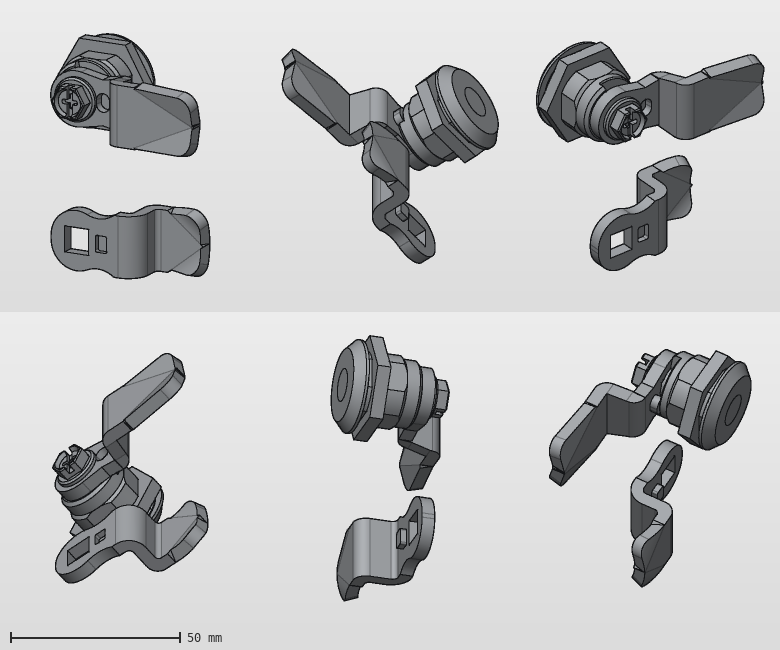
import cadquery as cq
import math


flange_dia = 28.0
flange_height = 3.9
flange_bevel = 3.0
body_dia = 22.1
body_flats = 20.1
collar_dia = 20.3
thread_start = -13.1
thread_bevel = (body_dia - collar_dia) / 2
housing_end = -18.05
end_bevel = 1.0
stop_slot_floor_bevel = 0.4
stop_slot_start = -19.0
stop_slot_end = 107.0

gasket_dia = 23.5
gasket_thickness = 0.65
gasket_bevel_width = 0.6
gasket_bevel_height = 0.35

nut_flats = 27.0
nut_top = -2.1
nut_thickness = 4.1

spindle_dia = 9.8
tang_size = 8.0
thread_dia = 6.0
thread_length = 12.0

cam_thickness = 4.1
cam_hub_radius = 8.65
cam_neck_x = 8.9
cam_neck_half = 7.08
cam_bend_x = 13.95
cam_bend_half = 7.95
cam_half = 9.56
cam_wall_half = 8.4
cam_wall_angle = 10.5
cam_wall_length = 6.87
cam_wing_start = 24.9
cam_wing_step = 0.9
cam_wing_half = 10.3
cam_tip_half = 10.1
cam_tip_x = 44.99
cam_fold_x = 25.1
cam_fold_tip_x = 45.7
cam_fold_angle = 15.3
cam_corner_radius = 4.3
boss_x = 9.0
boss_length = 5.75
boss_width = 4.4
boss_height = 2.45
dimple_taper = 7.0

spare_z = -43.7
spare_thickness = 3.95
spare_hub_radius = 8.6
spare_hub_half_flat = 0.7
spare_neck_x = 7.2
spare_neck_half = 7.75
spare_half = 9.55
spare_bend_outer_radius = 6.4
spare_bend_inner_radius = 1.7
spare_back = -5.95
spare_top_outer_radius = 3.95
spare_top_inner_radius = 1.4
spare_fold_x = 24.0
spare_fold_tip_x = 36.0
spare_tip_x = 36.1
spare_tip_half = 10.8
spare_corner_radius = 4.1
spare_roll_radius = 13.0
spare_roll_angle = 60.0
spare_wing_tilt = 22.0
spare_boss_x = 8.2
spare_boss_length = 3.8
spare_boss_width = 5.2
spare_boss_radius = 0.6
spare_boss_height = 1.9

washer_dia = 13.6
washer_thickness = 1.6
washer_bevel = 0.6

head_flats = 9.65
head_height = 3.9
head_bevel = 0.4
dish_dia = 8.8
dish_floor_dia = 7.6
dish_depth = 1.4
slot_width = 1.8
slot_depth = 2.6
cross_length = 5.2
cross_height = 4.6
cross_width = 1.4
cross_depth = 3.2

cam_front = housing_end - cam_thickness
washer_front = cam_front - washer_thickness
head_front = washer_front - head_height
spare_front = housing_end - spare_thickness

FAR = 60.0


def plane_at(y):
    """Workplane at height y along the lock axis; extrusion runs towards -Y."""
    return cq.Workplane("XZ", origin=(0, y, 0))


def turned(points):
    """Solid of revolution about the lock axis from (radius, y) points."""
    return cq.Workplane("XY").polyline(points).close().revolve(360, (0, 0, 0), (0, 1, 0))


def across_corners(flats):
    return flats / math.cos(math.radians(30))


def flatted_bar(top, length):
    """Threaded bar shape: a round bar with four flats."""
    bar = plane_at(top).circle(body_dia / 2).extrude(length)
    return bar.intersect(plane_at(top).rect(body_flats, body_flats).extrude(length))


def polar(radius, angle):
    return radius * math.cos(math.radians(angle)), radius * math.sin(math.radians(angle))


def make_housing():
    flange_r = flange_dia / 2
    collar_r = collar_dia / 2
    flange = turned([
        (0, 0), (flange_r, 0), (flange_r, flange_height - flange_bevel),
        (flange_r - flange_bevel, flange_height), (0, flange_height),
    ])
    thread_bevel_cone = turned([
        (0, 0), (body_dia / 2, 0), (body_dia / 2, thread_start + thread_bevel),
        (collar_r, thread_start), (0, thread_start),
    ])
    thread = flatted_bar(0, -thread_start).intersect(thread_bevel_cone)
    collar = turned([
        (0, thread_start), (collar_r, thread_start), (collar_r, housing_end + end_bevel),
        (collar_r - end_bevel, housing_end), (0, housing_end),
    ])
    bore = plane_at(flange_height).circle(spindle_dia / 2).extrude(FAR)

    slot_floor = housing_end + boss_height
    slot_top = slot_floor + stop_slot_floor_bevel
    stop_slot = (
        plane_at(slot_top)
        .lineTo(*polar(FAR, stop_slot_start))
        .lineTo(*polar(FAR, (stop_slot_start + stop_slot_end) / 2))
        .lineTo(*polar(FAR, stop_slot_end))
        .close()
        .extrude(slot_top - housing_end)
    )
    slot_floor_step = turned([
        (0, slot_top), (collar_r, slot_top),
        (collar_r - stop_slot_floor_bevel, slot_floor), (0, slot_floor),
    ])
    return flange.union(thread).union(collar).cut(bore).cut(stop_slot.cut(slot_floor_step))


def make_gasket():
    outer = gasket_dia / 2
    ring = turned([
        (0, 0), (outer, 0), (outer, gasket_bevel_height - gasket_thickness),
        (outer - gasket_bevel_width, -gasket_thickness), (0, -gasket_thickness),
    ])
    return ring.cut(flatted_bar(0, gasket_thickness))


def make_nut():
    hexagon = plane_at(nut_top).polygon(6, across_corners(nut_flats)).extrude(nut_thickness)
    return hexagon.cut(flatted_bar(nut_top, nut_thickness))


def make_spindle():
    barrel = plane_at(flange_height).circle(spindle_dia / 2).extrude(flange_height - housing_end)
    tang = plane_at(housing_end).rect(tang_size, tang_size).extrude(cam_thickness)
    round_limit = plane_at(housing_end).circle(spindle_dia / 2).extrude(cam_thickness)
    thread_hole = plane_at(cam_front + thread_length).circle(thread_dia / 2).extrude(thread_length)
    return barrel.union(tang.intersect(round_limit)).cut(thread_hole)


def rounded_blade(points, corner_radius, back, thickness):
    """Flat blade from one half outline, mirrored about z = 0, with rounded tip corners."""
    mirrored = [(x, -z) for x, z in reversed(points)]
    blank = plane_at(back).polyline(points + mirrored).close().extrude(thickness)
    return blank.edges("|Y and >X").fillet(corner_radius)


def fold_plane(fold_x, fold_z, fold_tip_x, back):
    """Plane across the upper fold line: local x points out to the wing, local y along +Y."""
    run = fold_tip_x - fold_x
    length = math.hypot(run, fold_z)
    return cq.Plane(
        origin=(fold_tip_x, back, 0),
        xDir=(fold_z / length, 0, run / length),
        normal=(-run / length, 0, fold_z / length),
    )


def folded_blade(blade_outline, plane, wing_profile, tilt, back, thickness):
    """Blade whose two corners beyond the fold lines are replaced by bent wings.

    wing_profile draws the bent sheet's section on a workplane across the fold line.
    The wing edges are square to a sheet folded by the tilt angle.
    """
    middle = blade_outline(back, thickness)
    section = cq.Workplane(plane)
    corner = section.center(FAR / 2, 0).rect(FAR, FAR).extrude(FAR, both=True)
    middle = middle.cut(corner).cut(corner.mirror("XY"))

    fold_start = plane.origin
    fold_end = fold_start + plane.zDir
    edge_limit = blade_outline(back + thickness, 3 * thickness)
    edge_limit = edge_limit.rotate(fold_start.toTuple(), fold_end.toTuple(), -tilt)
    sheet = wing_profile(section).extrude(FAR, both=True)
    wing = sheet.intersect(edge_limit)
    return middle.union(wing).union(wing.mirror("XY"))


wall_across = polar(cam_thickness, cam_wall_angle)
wall_down = polar(cam_wall_length, cam_wall_angle - 90)
upper_corner = (cam_bend_x, cam_front)
lower_corner = (
    upper_corner[0] + wall_across[0] + wall_down[0],
    upper_corner[1] + wall_across[1] + wall_down[1],
)
cam_blade_back = lower_corner[1]


def offset(point, step, sign=1):
    return point[0] + sign * step[0], point[1] + sign * step[1]


def make_cam_neck():
    """Round hub, straight waist and flare up to the first bend."""
    reach = math.hypot(cam_neck_x, cam_neck_half)
    tangent_angle = math.degrees(
        math.atan2(cam_neck_half, cam_neck_x) + math.acos(cam_hub_radius / reach)
    )
    tangent_x, tangent_z = polar(cam_hub_radius, tangent_angle)
    return (
        plane_at(housing_end)
        .moveTo(tangent_x, tangent_z)
        .threePointArc((-cam_hub_radius, 0), (tangent_x, -tangent_z))
        .lineTo(cam_neck_x, -cam_neck_half)
        .lineTo(cam_bend_x, -cam_bend_half)
        .lineTo(cam_bend_x, cam_bend_half)
        .lineTo(cam_neck_x, cam_neck_half)
        .close()
        .extrude(cam_thickness)
    )


def make_cam_wall():
    """Double bend down to the blade, widening along the slanted wall."""
    bend_middle = polar(cam_thickness, (90 + cam_wall_angle) / 2)
    strip = (
        cq.Workplane("XY")
        .moveTo(*upper_corner)
        .lineTo(cam_bend_x, housing_end)
        .threePointArc(offset(upper_corner, bend_middle), offset(upper_corner, wall_across))
        .lineTo(*lower_corner)
        .lineTo(cam_wing_start, cam_blade_back)
        .lineTo(cam_wing_start, cam_blade_back - cam_thickness)
        .lineTo(lower_corner[0], cam_blade_back - cam_thickness)
        .threePointArc(
            offset(lower_corner, bend_middle, -1), offset(lower_corner, wall_across, -1)
        )
        .close()
        .extrude(cam_half, both=True)
    )
    taper = (
        cq.Workplane("YZ")
        .polyline([
            (housing_end, cam_bend_half), (cam_front, cam_wall_half),
            (cam_blade_back, cam_half), (cam_blade_back - cam_thickness, cam_half),
            (cam_blade_back - cam_thickness, -cam_half), (cam_blade_back, -cam_half),
            (cam_front, -cam_wall_half), (housing_end, -cam_bend_half),
        ])
        .close()
        .extrude(FAR)
    )
    return strip.intersect(taper)


def cam_blade_outline(back, thickness):
    half_outline = [
        (cam_wing_start, cam_half), (cam_wing_start + cam_wing_step, cam_wing_half),
        (cam_tip_x, cam_tip_half),
    ]
    return rounded_blade(half_outline, cam_corner_radius, back, thickness)


def cam_wing_profile(section):
    """Flat sheet turned down about the fold line."""
    out = polar(FAR, -cam_fold_angle)
    down = polar(cam_thickness, -cam_fold_angle - 90)
    return section.polyline([(0, 0), out, offset(out, down), down]).close()


def stop_boss_outline(y):
    return plane_at(y).center(boss_x, 0).slot2D(boss_length, boss_width, 90)


def make_cam():
    plane = fold_plane(cam_fold_x, cam_half, cam_fold_tip_x, cam_blade_back)
    blade = folded_blade(
        cam_blade_outline, plane, cam_wing_profile, cam_fold_angle, cam_blade_back, cam_thickness
    )
    boss = stop_boss_outline(housing_end + boss_height).extrude(boss_height)
    dimple = stop_boss_outline(cam_front).extrude(-boss_height, taper=dimple_taper)
    square_hole = plane_at(housing_end).rect(tang_size, tang_size).extrude(cam_thickness)
    body = make_cam_neck().union(make_cam_wall()).union(blade).union(boss)
    return body.cut(square_hole).cut(dimple)


def make_spare_neck():
    """Hub of two arcs joined by a short flat, with a concave waist tangent to the hub."""
    rise = spare_neck_half - spare_hub_half_flat
    waist_radius = (spare_neck_x**2 + rise**2 - spare_hub_radius**2) / (
        2 * (spare_hub_radius - rise)
    )
    waist_z = spare_neck_half + waist_radius
    share = spare_hub_radius / (spare_hub_radius + waist_radius)
    touch_x = spare_neck_x * share
    touch_z = spare_hub_half_flat + (waist_z - spare_hub_half_flat) * share
    waist_end_x = spare_neck_x + math.sqrt(waist_radius**2 - (waist_z - spare_half) ** 2)
    hub_side = polar(spare_hub_radius, 135)
    hub_side_z = hub_side[1] + spare_hub_half_flat
    return (
        plane_at(housing_end)
        .moveTo(-spare_hub_radius, spare_hub_half_flat)
        .threePointArc((hub_side[0], hub_side_z), (touch_x, touch_z))
        .threePointArc((spare_neck_x, spare_neck_half), (waist_end_x, spare_half))
        .lineTo(cam_bend_x, spare_half)
        .lineTo(cam_bend_x, -spare_half)
        .lineTo(waist_end_x, -spare_half)
        .threePointArc((spare_neck_x, -spare_neck_half), (touch_x, -touch_z))
        .threePointArc((hub_side[0], -hub_side_z), (-spare_hub_radius, -spare_hub_half_flat))
        .close()
        .extrude(spare_thickness)
    )


def make_spare_wall():
    """Quarter bend up to a straight wall, then a second bend into the blade."""
    wall_right = cam_bend_x + spare_bend_outer_radius
    wall_left = wall_right - spare_thickness
    blade_front = spare_back - spare_thickness
    outer_centre = (cam_bend_x, spare_front + spare_bend_outer_radius)
    inner_centre = (wall_left - spare_bend_inner_radius, housing_end + spare_bend_inner_radius)
    outer_middle = offset(outer_centre, polar(spare_bend_outer_radius, -45))
    inner_middle = offset(inner_centre, polar(spare_bend_inner_radius, -45))
    strip = (
        cq.Workplane("XY")
        .moveTo(cam_bend_x, spare_front)
        .threePointArc(outer_middle, (wall_right, outer_centre[1]))
        .lineTo(wall_right, blade_front)
        .lineTo(spare_fold_x, blade_front)
        .lineTo(spare_fold_x, spare_back)
        .lineTo(wall_left, spare_back)
        .lineTo(wall_left, inner_centre[1])
        .threePointArc(inner_middle, (inner_centre[0], housing_end))
        .lineTo(cam_bend_x, housing_end)
        .close()
        .extrude(spare_half, both=True)
    )
    strip = strip.edges(cq.NearestToPointSelector((wall_left, spare_back, 0)))
    strip = strip.fillet(spare_top_outer_radius)
    strip = strip.edges(cq.NearestToPointSelector((wall_right, blade_front, 0)))
    return strip.fillet(spare_top_inner_radius)


def spare_blade_outline(back, thickness):
    half_outline = [(spare_fold_x, spare_half), (spare_tip_x, spare_tip_half)]
    return rounded_blade(half_outline, spare_corner_radius, back, thickness)


def spare_wing_profile(section):
    """Sheet rolled down to an arc that leaves the fold line smoothly."""
    radius = spare_roll_radius
    centre = (0, -radius)
    inner = radius - spare_thickness
    end = 90 - spare_roll_angle
    middle = 90 - spare_roll_angle / 2
    return (
        section.moveTo(0, 0)
        .threePointArc(offset(centre, polar(radius, middle)), offset(centre, polar(radius, end)))
        .lineTo(*offset(centre, polar(inner, end)))
        .threePointArc(offset(centre, polar(inner, middle)), (0, -spare_thickness))
        .close()
    )


def spare_stop_boss(top, length):
    boss = plane_at(top).center(spare_boss_x, 0).rect(spare_boss_length, spare_boss_width)
    return boss.extrude(length).edges("|Y").fillet(spare_boss_radius)


def make_spare_cam():
    plane = fold_plane(spare_fold_x, spare_half, spare_fold_tip_x, spare_back)
    blade = folded_blade(
        spare_blade_outline, plane, spare_wing_profile, spare_wing_tilt, spare_back, spare_thickness
    )
    boss = spare_stop_boss(housing_end + spare_boss_height, spare_boss_height)
    dimple = spare_stop_boss(spare_front + spare_boss_height, spare_boss_height)
    square_hole = plane_at(housing_end).rect(tang_size, tang_size).extrude(spare_thickness)
    body = make_spare_neck().union(make_spare_wall()).union(blade).union(boss)
    return body.cut(square_hole).cut(dimple).translate((0, 0, spare_z))


def make_washer():
    disc = plane_at(cam_front).circle(washer_dia / 2).circle(thread_dia / 2).extrude(washer_thickness)
    rim = cq.selectors.RadiusNthSelector(-1)
    return disc.faces("<Y").edges(rim).chamfer(washer_bevel)


def make_bolt():
    shank = plane_at(cam_front + thread_length).circle(thread_dia / 2)
    shank = shank.extrude(thread_length + washer_thickness)
    head = plane_at(washer_front).polygon(6, across_corners(head_flats)).extrude(head_height)
    head = head.faces("<Y").chamfer(head_bevel)
    dish_floor = head_front + dish_depth
    dish = turned([
        (0, dish_floor), (dish_floor_dia / 2, dish_floor),
        (dish_dia / 2, head_front), (0, head_front),
    ])
    slot = plane_at(head_front + slot_depth).rect(slot_width, FAR).extrude(slot_depth)
    bolt = shank.union(head).cut(dish).cut(slot)
    for angle, length in ((0, cross_length), (90, cross_height)):
        arm = plane_at(head_front + cross_depth).slot2D(length, cross_width, angle)
        bolt = bolt.cut(arm.extrude(cross_depth))
    return bolt


bodies = [
    make_housing(),
    make_gasket(),
    make_nut(),
    make_spindle(),
    make_cam(),
    make_spare_cam(),
    make_washer(),
    make_bolt(),
]
result = cq.Compound.makeCompound([body.solids().val() for body in bodies])